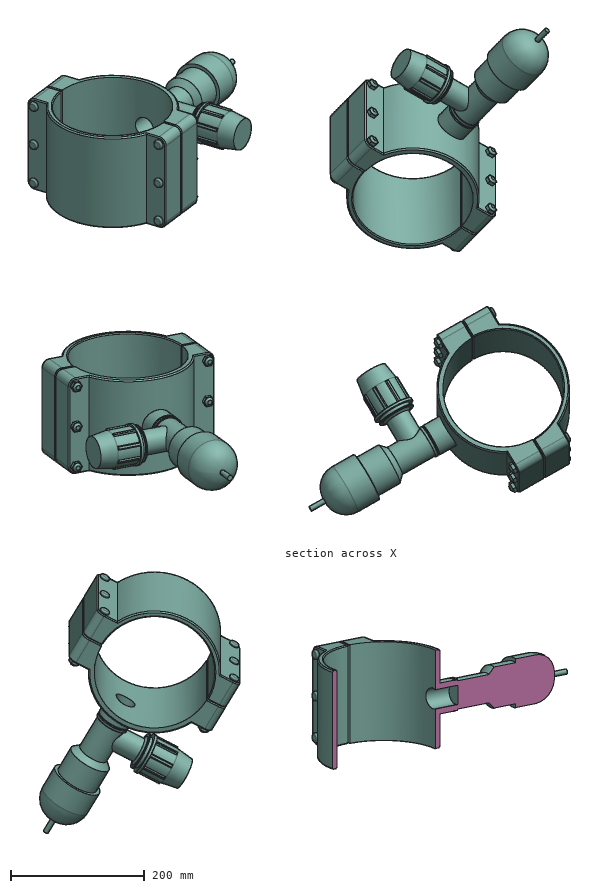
import cadquery as cq
import math

clamp_height = 154.0
clamp_outer_radius = 99.0
bore_radius = 90.0
lug_half_span = 122.5
lug_depth = 44.5
lug_corner_radius = 12.0
edge_chamfer = 2.0
lug_chamfer = 1.7
seam_chamfer = 1.7
front_bore_chamfer = 1.7

bolt_x = 110.8
bolt_spacing = 65.0
head_diameter = 15.0
head_flat_diameter = 10.0
head_height = 4.5
nut_corner_diameter = 17.5
nut_height = 5.0
nut_dome_height = 3.0
nut_dome_base_radius = 7.0
nut_dome_top_radius = 3.5

collar_diameter = 50.5
collar_groove_start = 124.0
collar_groove_width = 3.0
collar_groove_depth = 1.0
collar_top = 131.0
stem_diameter = 46.7
stem_top = 187.8
body_diameter = 66.0
body_bottom = 197.5
cap_bottom = 236.5
cap_diameter = 78.0
dome_start = 274.0
dome_radius = 35.0
pin_diameter = 8.2
overall_length = 432.5
tap_hole_diameter = 32.0

branch_y = 149.5
branch_diameter = 38.5
branch_shoulder_start = 56.0
branch_shoulder_end = 59.0
branch_shoulder_diameter = 48.0
stop_ring_end = 60.5
stop_ring_diameter = 57.5
neck_diameter = 51.0
nut_flange_start = 66.0
nut_flange_end = 70.5
nut_flange_diameter = 64.0
grip_diameter = 57.5
grip_end = 108.0
fitting_end = 135.0
fitting_end_diameter = 49.5
rib_count = 8
rib_diameter = 62.0
rib_base_width = 6.0
rib_crest_width = 3.5
rib_end = 107.5
rib_root_depth = 4.5

pin_top = overall_length - clamp_outer_radius


def make_bore_cutter(end_chamfer):
    """Pipe bore along Z that flares by end_chamfer at both ends of the clamp."""
    half_height = clamp_height / 2
    flare_radius = bore_radius + end_chamfer
    cutter = cq.Workplane("XY").circle(bore_radius).extrude(half_height, both=True)
    if end_chamfer > 0:
        flare = (
            cq.Workplane("XY", origin=(0, 0, half_height - end_chamfer))
            .circle(bore_radius)
            .workplane(offset=end_chamfer)
            .circle(flare_radius)
            .loft()
        )
        cutter = cutter.union(flare).union(flare.mirror("XY"))
    return cutter


def make_half_clamp(side, bore_chamfer):
    """Half shell with its two lugs, on the +Y (side = 1) or -Y (side = -1) half."""
    outward = ">Y" if side > 0 else "<Y"
    inward = "<Y" if side > 0 else ">Y"
    shell = cq.Workplane("XY").circle(clamp_outer_radius).extrude(clamp_height / 2, both=True)
    shell = shell.faces("<Z or >Z").chamfer(edge_chamfer)
    keep = cq.Workplane("XY").box(4 * clamp_outer_radius, 2 * clamp_outer_radius, 2 * clamp_height)
    shell = shell.intersect(keep.translate((0, side * clamp_outer_radius, 0)))

    lugs = cq.Workplane("XY").box(2 * lug_half_span, lug_depth, clamp_height)
    lugs = lugs.edges("|Y").fillet(lug_corner_radius)
    lugs = lugs.faces(outward).chamfer(lug_chamfer)
    lugs = lugs.translate((0, side * lug_depth / 2, 0))

    half = shell.union(lugs).cut(make_bore_cutter(bore_chamfer))
    return half.faces(inward).chamfer(seam_chamfer)


def make_bolt_head():
    """Button head that rises along +Z from the origin, rounded down to a flat face."""
    edge_radius = (head_diameter - head_flat_diameter) / 2
    head = cq.Workplane("XY").circle(head_diameter / 2).extrude(head_height)
    return head.faces(">Z").edges().fillet(edge_radius)


def make_domed_nut():
    """Hexagonal nut that rises along +Z from the origin, with a tapered dome."""
    hexagon = cq.Workplane("XY").polygon(6, nut_corner_diameter).extrude(nut_height)
    dome = (
        cq.Workplane("XZ")
        .moveTo(0, 0)
        .lineTo(nut_dome_base_radius, 0)
        .lineTo(nut_dome_base_radius, nut_height)
        .lineTo(nut_dome_top_radius, nut_height + nut_dome_height)
        .lineTo(0, nut_height + nut_dome_height)
        .close()
        .revolve(360, (0, 0, 0), (0, 1, 0))
    )
    return hexagon.union(dome)


def make_riser():
    """Collar, stem, body, domed cap and pin, turned about the Y axis from the clamp centre."""
    collar = collar_diameter / 2
    groove_middle = collar_groove_start + collar_groove_width / 2
    groove_end = collar_groove_start + collar_groove_width
    cap = cap_diameter / 2
    dome_top = dome_start + dome_radius
    arc_middle = dome_radius * math.sqrt(0.5)
    pin = pin_diameter / 2
    return (
        cq.Workplane("XY")
        .lineTo(collar, 0)
        .lineTo(collar, collar_groove_start)
        .lineTo(collar - collar_groove_depth, groove_middle)
        .lineTo(collar, groove_end)
        .lineTo(collar, collar_top)
        .lineTo(stem_diameter / 2, collar_top)
        .lineTo(stem_diameter / 2, stem_top)
        .lineTo(body_diameter / 2, body_bottom)
        .lineTo(body_diameter / 2, cap_bottom)
        .lineTo(cap, cap_bottom)
        .lineTo(cap, dome_start)
        .threePointArc(
            (cap - dome_radius + arc_middle, dome_start + arc_middle),
            (cap - dome_radius, dome_top),
        )
        .lineTo(pin, dome_top)
        .lineTo(pin, pin_top)
        .lineTo(0, pin_top)
        .close()
        .revolve(360, (0, 0, 0), (0, 1, 0))
    )


def make_rib():
    """Tapered grip rib on the fitting nut, rooted inside the grip and standing up along +Z."""
    base = grip_diameter / 2
    return (
        cq.Workplane("YZ", origin=(nut_flange_start, 0, 0))
        .moveTo(-rib_base_width / 2, base - rib_root_depth)
        .lineTo(rib_base_width / 2, base - rib_root_depth)
        .lineTo(rib_base_width / 2, base)
        .lineTo(rib_crest_width / 2, rib_diameter / 2)
        .lineTo(-rib_crest_width / 2, rib_diameter / 2)
        .lineTo(-rib_base_width / 2, base)
        .close()
        .extrude(rib_end - nut_flange_start)
    )


def make_branch():
    """Branch pipe with its compression fitting, turned about an axis along +X."""
    turned = (
        cq.Workplane("XY")
        .lineTo(0, branch_diameter / 2)
        .lineTo(branch_shoulder_start, branch_diameter / 2)
        .lineTo(branch_shoulder_end, branch_shoulder_diameter / 2)
        .lineTo(branch_shoulder_end, stop_ring_diameter / 2)
        .lineTo(stop_ring_end, stop_ring_diameter / 2)
        .lineTo(stop_ring_end, neck_diameter / 2)
        .lineTo(nut_flange_start, neck_diameter / 2)
        .lineTo(nut_flange_start, nut_flange_diameter / 2)
        .lineTo(nut_flange_end, nut_flange_diameter / 2)
        .lineTo(nut_flange_end, grip_diameter / 2)
        .lineTo(grip_end, grip_diameter / 2)
        .lineTo(fitting_end, fitting_end_diameter / 2)
        .lineTo(fitting_end, 0)
        .close()
        .revolve(360, (0, 0, 0), (1, 0, 0))
    )
    rib = make_rib()
    for index in range(rib_count):
        angle = (index + 0.5) * 360 / rib_count
        turned = turned.union(rib.rotate((0, 0, 0), (1, 0, 0), angle))
    return turned.translate((0, branch_y, 0))


result = make_riser().union(make_branch()).cut(make_bore_cutter(0))

result = result.union(make_half_clamp(1, 0)).union(make_half_clamp(-1, front_bore_chamfer))
tap_hole = cq.Workplane("XZ").circle(tap_hole_diameter / 2).extrude(-collar_top)
result = result.cut(tap_hole)

bolt_head = make_bolt_head().rotate((0, 0, 0), (1, 0, 0), 90)
domed_nut = make_domed_nut().rotate((0, 0, 0), (1, 0, 0), -90)
for x in (-bolt_x, bolt_x):
    for z in (-bolt_spacing, 0, bolt_spacing):
        result = result.union(bolt_head.translate((x, -lug_depth, z)))
        result = result.union(domed_nut.translate((x, lug_depth, z)))